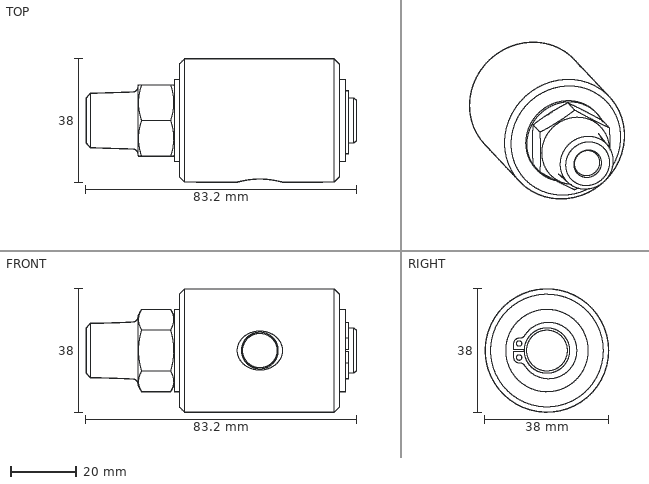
import cadquery as cq
import math

TIP_CHAMFER_END = 1.25
TAPER_END = 14.3
HEX_START = 15.9
FLANGE_START = 27.1
BODY_START = 28.6
BODY_END = 78.0
REAR_FLANGE_END = 79.8
CLIP_END = 80.7
SHAFT_END = 83.2

TIP_DIAMETER = 13.9
TAPER_START_DIAMETER = 16.8
TAPER = 1 / 16
FILLET_TOP_DIAMETER = 20.6
BORE_DIAMETER = 8.0
BORE_MOUTH_DIAMETER = 8.7
BORE_MOUTH_DEPTH = 0.75
BORE_DEPTH = 41.6
DRILL_POINT_ANGLE = 118

HEX_CORNER_DIAMETER = 25.4
HEX_CHAMFER_DIAMETER = 21.4
HEX_CHAMFER_ANGLE = 30
HEX_BLANK_CLEARANCE = 0.8

BODY_DIAMETER = 38.0
BODY_CHAMFER = 1.7
FLANGE_DIAMETER = HEX_CORNER_DIAMETER

SHAFT_DIAMETER = 14.0
SHAFT_END_DIAMETER = 12.6
SHAFT_CHAMFER_LENGTH = 1.0

CLIP_DIAMETER = 17.4
CLIP_OFFSET = 0.5
EAR_RADIUS = 1.7
EAR_CENTER_Y = -8.6
EAR_CENTER_Z = 2.2
EAR_ROOT_FILLET = 1.7
EAR_HOLE_DIAMETER = 1.7
EAR_GAP = 0.7

PORT_X = 53.4
PORT_DIAMETER = 11.3
PORT_SINK_DIAMETER = 14.0
PORT_FLOOR_DIAMETER = 14.2


def revolve_about_x(profile):
    return profile.close().revolve(360, (0, 0, 0), (1, 0, 0))


def cylinder(start, end, diameter):
    return cq.Workplane("YZ", origin=(start, 0, 0)).circle(diameter / 2).extrude(end - start)


def nipple():
    taper_start = TAPER_START_DIAMETER / 2
    taper_end = taper_start + (TAPER_END - TIP_CHAMFER_END) * TAPER / 2
    fillet_top = FILLET_TOP_DIAMETER / 2
    lean = math.sin(math.radians(45))
    fillet_middle = (
        TAPER_END + (HEX_START - TAPER_END) * lean,
        fillet_top - (fillet_top - taper_end) * lean,
    )
    return revolve_about_x(
        cq.Workplane("XY")
        .lineTo(0, TIP_DIAMETER / 2)
        .lineTo(TIP_CHAMFER_END, taper_start)
        .lineTo(TAPER_END, taper_end)
        .threePointArc(fillet_middle, (HEX_START, fillet_top))
        .lineTo(FLANGE_START, fillet_top)
        .lineTo(FLANGE_START, 0)
    )


def hexagon():
    prism = (
        cq.Workplane("YZ", origin=(HEX_START, 0, 0))
        .transformed(rotate=(0, 0, 90))
        .polygon(6, HEX_CORNER_DIAMETER)
        .extrude(FLANGE_START - HEX_START)
    )
    face = HEX_CHAMFER_DIAMETER / 2
    rim = HEX_CORNER_DIAMETER / 2 + HEX_BLANK_CLEARANCE
    run = (rim - face) * math.tan(math.radians(HEX_CHAMFER_ANGLE))
    turned = revolve_about_x(
        cq.Workplane("XY")
        .moveTo(HEX_START, 0)
        .lineTo(HEX_START, face)
        .lineTo(HEX_START + run, rim)
        .lineTo(FLANGE_START - run, rim)
        .lineTo(FLANGE_START, face)
        .lineTo(FLANGE_START, 0)
    )
    return prism.intersect(turned)


def housing():
    barrel = cylinder(BODY_START, BODY_END, BODY_DIAMETER).edges().chamfer(BODY_CHAMFER)
    flanges = cylinder(FLANGE_START, REAR_FLANGE_END, FLANGE_DIAMETER)
    return barrel.union(flanges)


def shaft_stub():
    end_step = (SHAFT_DIAMETER - SHAFT_END_DIAMETER) / 2
    stub = cylinder(REAR_FLANGE_END, SHAFT_END, SHAFT_DIAMETER)
    return stub.faces(">X").chamfer(SHAFT_CHAMFER_LENGTH, end_step)


def retaining_ring():
    thickness = CLIP_END - REAR_FLANGE_END
    plane = cq.Workplane("YZ", origin=(REAR_FLANGE_END, 0, 0))
    ring = plane.center(CLIP_OFFSET, 0).circle(CLIP_DIAMETER / 2).extrude(thickness)
    ear_top = EAR_CENTER_Z + EAR_RADIUS
    ear_reach = EAR_RADIUS - EAR_CENTER_Y
    lug = (
        plane.center(-ear_reach / 2, 0)
        .rect(ear_reach, 2 * ear_top)
        .extrude(thickness)
        .edges("|X and <Y")
        .fillet(EAR_RADIUS)
    )
    ring = ring.union(lug)
    root_y = CLIP_OFFSET - math.sqrt((CLIP_DIAMETER / 2) ** 2 - ear_top ** 2)
    for side in (-1, 1):
        root = (REAR_FLANGE_END + thickness / 2, root_y, side * ear_top)
        ring = ring.edges(cq.NearestToPointSelector(root)).fillet(EAR_ROOT_FILLET)
    holes = (
        plane.pushPoints([(EAR_CENTER_Y, EAR_CENTER_Z), (EAR_CENTER_Y, -EAR_CENTER_Z)])
        .circle(EAR_HOLE_DIAMETER / 2)
        .extrude(thickness)
    )
    gap = plane.center(-ear_reach / 2, 0).rect(ear_reach, EAR_GAP).extrude(thickness)
    return ring.cut(holes).cut(gap)


def nipple_bore():
    point_length = BORE_DIAMETER / 2 / math.tan(math.radians(DRILL_POINT_ANGLE / 2))
    return revolve_about_x(
        cq.Workplane("XY")
        .lineTo(0, BORE_MOUTH_DIAMETER / 2)
        .lineTo(BORE_MOUTH_DEPTH, BORE_DIAMETER / 2)
        .lineTo(BORE_DEPTH, BORE_DIAMETER / 2)
        .lineTo(BORE_DEPTH + point_length, 0)
    )


def side_port():
    surface = BODY_DIAMETER / 2
    sink_depth = (PORT_SINK_DIAMETER - PORT_DIAMETER) / 2
    bottom_radius = PORT_DIAMETER / 2 - (surface - sink_depth) * TAPER / 2
    cutter = (
        cq.Workplane("XY")
        .moveTo(0, -surface)
        .lineTo(PORT_SINK_DIAMETER / 2, -surface)
        .lineTo(PORT_DIAMETER / 2, sink_depth - surface)
        .lineTo(bottom_radius, 0)
        .lineTo(0, 0)
        .close()
        .revolve(360, (0, 0, 0), (0, 1, 0))
        .translate((PORT_X, 0, 0))
    )
    return cutter.cut(cylinder(BODY_START, BODY_END, PORT_FLOOR_DIAMETER))


result = (
    nipple()
    .union(hexagon())
    .union(housing())
    .union(shaft_stub())
    .union(retaining_ring())
    .cut(nipple_bore())
    .cut(side_port())
)